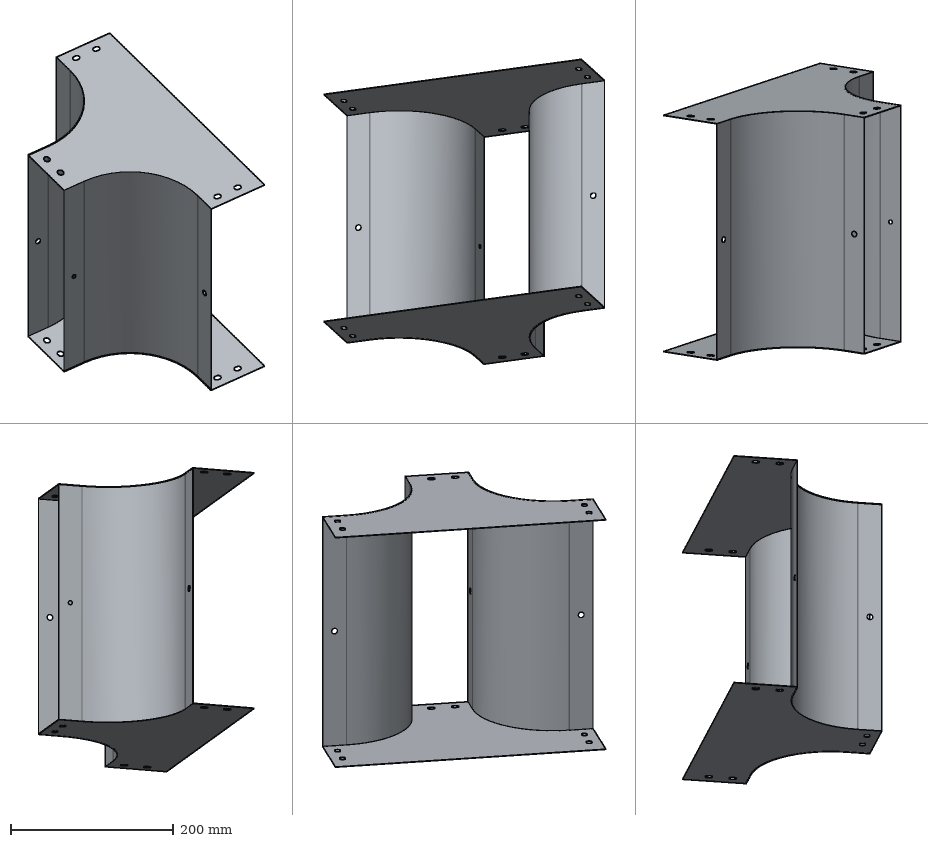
import cadquery as cq

length = 340.0
depth = 210.0
height = 300.0
sheet = 1.0

bend_radius = 100.0
branch_width = 80.0
arm_end = length / 2
stem_side = branch_width / 2
back = depth / 2
front = -depth / 2
arm_front = back - branch_width
straight_end_x = stem_side + bend_radius
straight_end_y = arm_front - bend_radius

slot_width = 7.0
slot_length = 9.2
slot_pitch = 30.0
slot_offset = 5.0
end_margin = 15.0
wall_hole = 7.0
far_stem_hole = 5.0


def make_plate():
    """Tee-shaped sheet with concave quarter-round inner corners."""
    diagonal = bend_radius * 2 ** -0.5
    arc_x = straight_end_x - diagonal
    arc_y = straight_end_y + diagonal
    return (
        cq.Workplane("XY")
        .moveTo(-arm_end, back)
        .lineTo(arm_end, back)
        .lineTo(arm_end, arm_front)
        .lineTo(straight_end_x, arm_front)
        .threePointArc((arc_x, arc_y), (stem_side, straight_end_y))
        .lineTo(stem_side, front)
        .lineTo(-stem_side, front)
        .lineTo(-stem_side, straight_end_y)
        .threePointArc((-arc_x, arc_y), (-straight_end_x, arm_front))
        .lineTo(-arm_end, arm_front)
        .close()
        .extrude(sheet)
    )


def make_wall():
    """Curved side wall on the +X side, its outer face flush with the plate edge."""
    outer_radius = bend_radius + sheet
    inner_diagonal = bend_radius * 2 ** -0.5
    outer_diagonal = outer_radius * 2 ** -0.5
    return (
        cq.Workplane("XY")
        .moveTo(arm_end, arm_front)
        .lineTo(straight_end_x, arm_front)
        .threePointArc(
            (straight_end_x - inner_diagonal, straight_end_y + inner_diagonal),
            (stem_side, straight_end_y),
        )
        .lineTo(stem_side, front)
        .lineTo(stem_side - sheet, front)
        .lineTo(stem_side - sheet, straight_end_y)
        .threePointArc(
            (straight_end_x - outer_diagonal, straight_end_y + outer_diagonal),
            (straight_end_x, arm_front + sheet),
        )
        .lineTo(arm_end, arm_front + sheet)
        .close()
        .extrude(height)
    )


def make_slots():
    """Slot cutters through both plates, lengthwise across each branch."""
    arm_x = arm_end - end_margin
    arm_y = (back + arm_front) / 2 - slot_offset
    arm_slots = (
        cq.Workplane("XY")
        .pushPoints([(x, arm_y + side * slot_pitch / 2) for x in (-arm_x, arm_x) for side in (-1, 1)])
        .slot2D(slot_length, slot_width, 90)
        .extrude(height)
    )
    stem_slots = (
        cq.Workplane("XY")
        .center(-slot_offset, front + end_margin)
        .rarray(slot_pitch, 3.5, 2, 1)
        .slot2D(slot_length, slot_width)
        .extrude(height)
    )
    return arm_slots.union(stem_slots)


def drill(x, y, diameter, direction):
    """Round cutter through one wall, centred on the wall at mid height."""
    reach = 2 * sheet
    start = cq.Vector(x, y, height / 2) - direction * reach
    return cq.Workplane(obj=cq.Solid.makeCylinder(diameter / 2, 2 * reach, start, direction))


top_plate = make_plate().translate((0, 0, height - sheet))
right_wall = make_wall()
left_wall = right_wall.mirror("YZ")
result = make_plate().union(top_plate).union(right_wall).union(left_wall)
result = result.cut(make_slots())

along_x = cq.Vector(1, 0, 0)
along_y = cq.Vector(0, 1, 0)
for hole_x in (-arm_end + end_margin, arm_end - end_margin):
    result = result.cut(drill(hole_x, arm_front, wall_hole, along_y))
result = result.cut(drill(-stem_side, front + end_margin, wall_hole, along_x))
result = result.cut(drill(stem_side, front + end_margin, far_stem_hole, along_x))